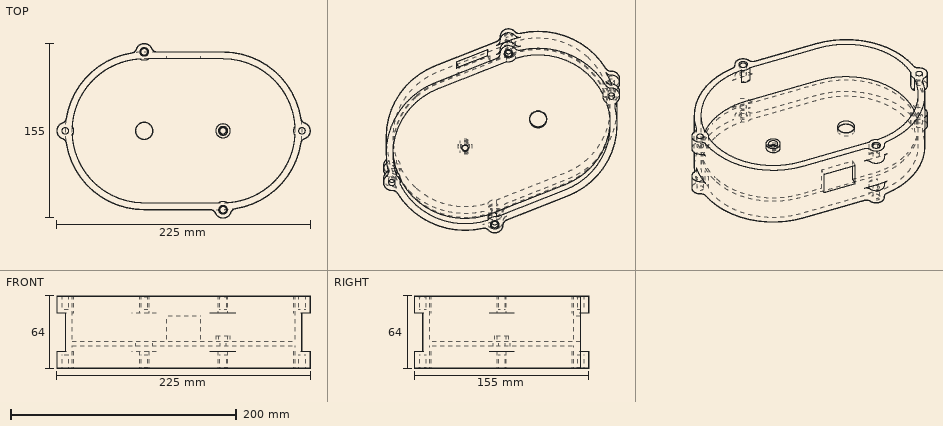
import cadquery as cq
import math

length = 225.0
width = 155.0
height = 64.0

lug_radius = 7.5
lug_height = 15.0
lug_blend_radius = 5.0
screw_hole_diameter = 5.8
screw_hole_depth = 12.0
screw_hole_chamfer = 1.0
chamfer_angle = 45

end_radius = width / 2 - lug_radius
end_offset = (length - width) / 2
wall_thickness = 6.0

upper_cavity_depth = 40.0
floor_thickness = 4.0
floor_top = height - upper_cavity_depth
floor_bottom = floor_top - floor_thickness

shaft_hole_diameter = 15.0
boss_diameter = 12.5
boss_height = 5.0
boss_bore_diameter = 8.0
boss_bore_depth = boss_height
boss_hole_diameter = 5.6

window_width = 30.0
window_height = 22.5


def racetrack(radius, bottom, top):
    """Solid with two round ends on the end centres, between two levels."""
    return (
        cq.Workplane("XY", origin=(0, 0, bottom))
        .slot2D(2 * (end_offset + radius), 2 * radius)
        .extrude(top - bottom)
    )


def cylinder(x, y, diameter, bottom, top):
    """Upright cylinder between two levels."""
    return (
        cq.Workplane("XY", origin=(x, y, bottom))
        .circle(diameter / 2)
        .extrude(top - bottom)
    )


def blend_corner(side, wall_is_round):
    """Blend arc points beside a lug at the origin whose wall lies toward -Y.

    Returns the tangent point on the lug, the arc's middle and the tangent point on the wall.
    """
    reach = lug_radius + lug_blend_radius
    if wall_is_round:
        orbit = end_radius + lug_blend_radius
        centre_y = (orbit**2 - reach**2 - end_radius**2) / (2 * end_radius)
        centre_x = math.sqrt(reach**2 - centre_y**2)
        wall_x = centre_x * end_radius / orbit
        wall_y = (centre_y + end_radius) * end_radius / orbit - end_radius
    else:
        centre_y = lug_blend_radius
        centre_x = math.sqrt(reach**2 - centre_y**2)
        wall_x = centre_x
        wall_y = 0.0
    lug_x = centre_x * lug_radius / reach
    lug_y = centre_y * lug_radius / reach

    chord_x = (lug_x + wall_x) / 2 - centre_x
    chord_y = (lug_y + wall_y) / 2 - centre_y
    stretch = lug_blend_radius / math.hypot(chord_x, chord_y)
    middle = (centre_x + chord_x * stretch, centre_y + chord_y * stretch)
    points = ((lug_x, lug_y), middle, (wall_x, wall_y))
    return [(side * x, y) for x, y in points]


def lug(left_round, right_round):
    """Lug at the origin pointing toward +Y, blended into the wall on both sides."""
    left_lug, left_middle, left_wall = blend_corner(-1, left_round)
    right_lug, right_middle, right_wall = blend_corner(1, right_round)
    root_y = -wall_thickness / 2
    web = (
        cq.Workplane("XY")
        .moveTo(left_wall[0], root_y)
        .lineTo(*left_wall)
        .threePointArc(left_middle, left_lug)
        .threePointArc((0, lug_radius), right_lug)
        .threePointArc(right_middle, right_wall)
        .lineTo(right_wall[0], root_y)
        .close()
        .extrude(lug_height)
    )
    return web.union(cylinder(0, 0, 2 * lug_radius, 0, lug_height))


def screw_hole(chamfered):
    """Blind hole cutter at the origin, opening upward at the top face of a lug."""
    hole = cylinder(0, 0, screw_hole_diameter, lug_height - screw_hole_depth, lug_height)
    if chamfered:
        mouth = (
            cq.Workplane("XY", origin=(0, 0, lug_height))
            .circle(screw_hole_diameter / 2 + screw_hole_chamfer)
            .extrude(-screw_hole_chamfer, taper=chamfer_angle)
        )
        hole = hole.union(mouth)
    return hole


def place_pair(shape, turn, x, y):
    """Upper and lower copies of a lug-sized shape, turned and moved to a lug position."""
    upper = (
        shape.rotate((0, 0, 0), (0, 0, 1), turn)
        .translate((x, y, height - lug_height))
    )
    lower = upper.mirror("XY", (0, 0, height / 2))
    return upper.union(lower)


lug_places = (
    (0, -end_offset, end_radius, True, False, True),
    (180, end_offset, -end_radius, True, False, True),
    (90, -end_offset - end_radius, 0, True, True, False),
    (-90, end_offset + end_radius, 0, True, True, False),
)

inner_radius = end_radius - wall_thickness
body = racetrack(end_radius, 0, height)
body = body.cut(racetrack(inner_radius, floor_top, height))
body = body.cut(racetrack(inner_radius, 0, floor_bottom))

for turn, x, y, left_round, right_round, chamfered in lug_places:
    body = body.union(place_pair(lug(left_round, right_round), turn, x, y))
    body = body.cut(place_pair(screw_hole(chamfered), turn, x, y))

body = body.cut(cylinder(-end_offset, 0, shaft_hole_diameter, floor_bottom, floor_top))

boss_top = floor_top + boss_height
body = body.union(cylinder(end_offset, 0, boss_diameter, floor_top, boss_top))
body = body.cut(cylinder(end_offset, 0, boss_bore_diameter, boss_top - boss_bore_depth, boss_top))
body = body.cut(cylinder(end_offset, 0, boss_hole_diameter, floor_bottom, boss_top))

window = (
    cq.Workplane("XY", origin=(0, inner_radius + wall_thickness / 2, floor_top))
    .rect(window_width, 2 * wall_thickness)
    .extrude(window_height)
)
result = body.cut(window)